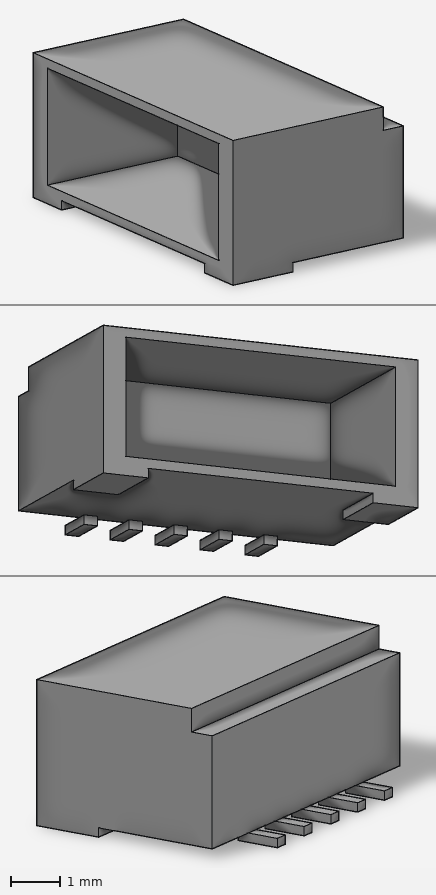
import cadquery as cq

width = 7.0
depth = 4.25
height = 3.1
standoff = 0.2
step_size = 0.5

side_wall = 0.5
top_wall = 0.2
bottom_wall = 0.2
rear_wall = 0.5
cavity_depth = depth - step_size - rear_wall

foot_width = 1.0
foot_depth = 1.5

pin_count = 5
pin_pitch = 1.0
pin_width = 0.3
pin_thickness = standoff
pin_length = 0.95
pin_protrusion = 0.7


def block(x_min, y_min, z_min, x_size, y_size, z_size):
    """Box placed by its lowest corner."""
    return cq.Workplane("XY").box(x_size, y_size, z_size, centered=False).translate((x_min, y_min, z_min))


def make_housing():
    """Housing shell: stepped at the rear, hollow from the front (y = 0)."""
    left = -width / 2
    body = block(left, 0, standoff, width, depth, height - standoff)
    notch = block(left, depth - step_size, height - step_size, width, step_size, step_size)
    cavity = block(
        left + side_wall,
        0,
        standoff + bottom_wall,
        width - 2 * side_wall,
        cavity_depth,
        height - standoff - bottom_wall - top_wall,
    )
    return body.cut(notch).cut(cavity)


def add_feet(part):
    """One foot under each front corner."""
    for x_min in (-width / 2, width / 2 - foot_width):
        part = part.union(block(x_min, 0, 0, foot_width, foot_depth, standoff))
    return part


def add_pins(part):
    """Row of solder tails under the rear edge, centred across the width."""
    y_min = depth + pin_protrusion - pin_length
    for index in range(pin_count):
        x_center = (index - (pin_count - 1) / 2) * pin_pitch
        pin = block(x_center - pin_width / 2, y_min, 0, pin_width, pin_length, pin_thickness)
        part = part.union(pin)
    return part


result = add_pins(add_feet(make_housing()))